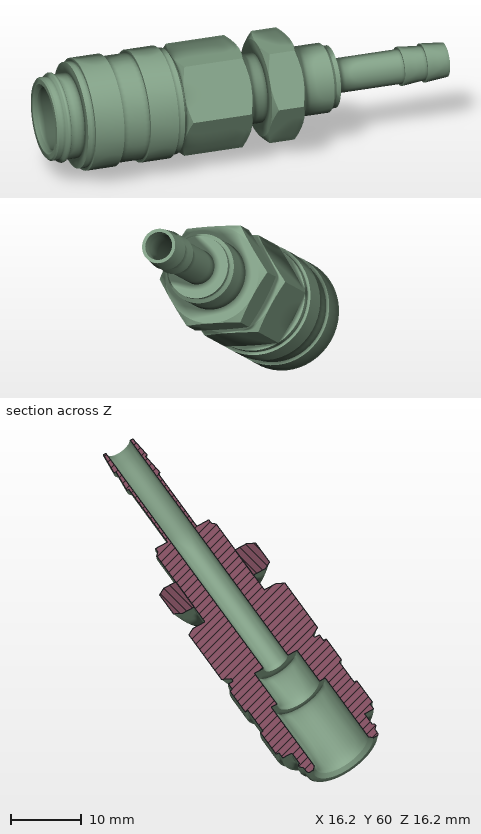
import cadquery as cq
import math


TOTAL_LENGTH = 60.0
LIP_EDGE_Y = 0.25
BEAD_START_Y = 1.1
BEAD_EDGE_Y = 1.45
BEAD_CREST_Y = 1.7
BEAD_END_Y = 2.05
SLEEVE_START_Y = 4.0
FRONT_BAND_START_Y = 5.05
FRONT_BAND_END_Y = 9.3
REAR_BAND_START_Y = 13.25
REAR_BAND_END_Y = 17.45
SLEEVE_END_Y = 18.55
HEX_START_Y = 19.0
HEX_END_Y = 29.0
NUT_START_Y = 31.8
NUT_END_Y = 36.8
SHANK_CHAMFER_Y = 41.8
COLLAR_START_Y = 42.3
COLLAR_END_Y = 42.95
BARB_LENGTH = 3.4
BARB_COUNT = 2

LIP_RADIUS = 11.5 / 2
NOSE_FRONT_RADIUS = 12.0 / 2
NOSE_RADIUS = 12.25 / 2
BEAD_RADIUS = 12.95 / 2
BEAD_EDGE_RADIUS = 12.7 / 2
SLEEVE_RADIUS = 15.3 / 2
BAND_RADIUS = 16.2 / 2
NECK_RADIUS = 13.7 / 2
SHANK_RADIUS = 10.0 / 2
COLLAR_RADIUS = 9.0 / 2
TAIL_RADIUS = 5.0 / 2
BARB_RADIUS = 5.65 / 2

HEX_SIDES = 6
HEX_ACROSS_FLATS = 14.0
HEX_CHAMFER_ANGLE = 30.0
hex_flat_radius = HEX_ACROSS_FLATS / 2
hex_corner_radius = hex_flat_radius / math.cos(math.pi / HEX_SIDES)
hex_chamfer_length = (hex_corner_radius - hex_flat_radius) * math.tan(math.radians(HEX_CHAMFER_ANGLE))

MOUTH_RADIUS = 10.1 / 2
SOCKET_RADIUS = 9.0 / 2
MOUTH_CHAMFER_DEPTH = 0.55
SOCKET_DEPTH = 12.0
SEAT_RADIUS = 7.1 / 2
SEAT_DEPTH = 18.0
BORE_RADIUS = 4.0 / 2


def revolve_about_y(profile):
    """Revolve a closed XY profile a full turn about the Y axis."""
    return profile.close().revolve(360, (0, 0, 0), (0, 1, 0))


def cylinder(radius, start_y, end_y):
    return cq.Workplane("XZ", origin=(0, start_y, 0)).circle(radius).extrude(start_y - end_y)


def chamfered_hexagon(start_y, end_y):
    """Hexagonal prism with flats facing +Z and -Z and conically chamfered corners."""
    prism = (
        cq.Workplane("XZ", origin=(0, start_y, 0))
        .polygon(HEX_SIDES, 2 * hex_corner_radius)
        .extrude(start_y - end_y)
    )
    envelope = revolve_about_y(
        cq.Workplane("XY")
        .moveTo(0, start_y)
        .lineTo(hex_flat_radius, start_y)
        .lineTo(hex_corner_radius, start_y + hex_chamfer_length)
        .lineTo(hex_corner_radius, end_y - hex_chamfer_length)
        .lineTo(hex_flat_radius, end_y)
        .lineTo(0, end_y)
    )
    return prism.intersect(envelope)


def nose():
    """Socket nose with a chamfered lip and a bead around it."""
    return revolve_about_y(
        cq.Workplane("XY")
        .lineTo(LIP_RADIUS, 0)
        .lineTo(NOSE_FRONT_RADIUS, LIP_EDGE_Y)
        .lineTo(NOSE_FRONT_RADIUS, BEAD_START_Y)
        .lineTo(BEAD_EDGE_RADIUS, BEAD_EDGE_Y)
        .threePointArc((BEAD_RADIUS, BEAD_CREST_Y), (NOSE_RADIUS, BEAD_END_Y))
        .lineTo(NOSE_RADIUS, SLEEVE_START_Y)
        .lineTo(0, SLEEVE_START_Y)
    )


def sleeve():
    """Release sleeve with two raised bands."""
    return revolve_about_y(
        cq.Workplane("XY")
        .moveTo(0, SLEEVE_START_Y)
        .lineTo(SLEEVE_RADIUS, SLEEVE_START_Y)
        .lineTo(SLEEVE_RADIUS, FRONT_BAND_START_Y)
        .lineTo(BAND_RADIUS, FRONT_BAND_START_Y)
        .lineTo(BAND_RADIUS, FRONT_BAND_END_Y)
        .lineTo(SLEEVE_RADIUS, FRONT_BAND_END_Y)
        .lineTo(SLEEVE_RADIUS, REAR_BAND_START_Y)
        .lineTo(BAND_RADIUS, REAR_BAND_START_Y)
        .lineTo(BAND_RADIUS, REAR_BAND_END_Y)
        .lineTo(SLEEVE_RADIUS, REAR_BAND_END_Y)
        .lineTo(SLEEVE_RADIUS, SLEEVE_END_Y)
        .lineTo(0, SLEEVE_END_Y)
    )


def shank():
    """Round shank that carries the nut, ending in a cone and a small collar."""
    return revolve_about_y(
        cq.Workplane("XY")
        .moveTo(0, HEX_END_Y)
        .lineTo(SHANK_RADIUS, HEX_END_Y)
        .lineTo(SHANK_RADIUS, SHANK_CHAMFER_Y)
        .lineTo(COLLAR_RADIUS, COLLAR_START_Y)
        .lineTo(COLLAR_RADIUS, COLLAR_END_Y)
        .lineTo(0, COLLAR_END_Y)
    )


def hose_tail():
    """Hose spigot with barbs that narrow toward the free end."""
    barbs_start_y = TOTAL_LENGTH - BARB_COUNT * BARB_LENGTH
    profile = (
        cq.Workplane("XY")
        .moveTo(0, COLLAR_END_Y)
        .lineTo(TAIL_RADIUS, COLLAR_END_Y)
        .lineTo(TAIL_RADIUS, barbs_start_y)
    )
    for index in range(BARB_COUNT):
        barb_y = barbs_start_y + index * BARB_LENGTH
        profile = profile.lineTo(BARB_RADIUS, barb_y).lineTo(TAIL_RADIUS, barb_y + BARB_LENGTH)
    return revolve_about_y(profile.lineTo(0, TOTAL_LENGTH))


def stepped_bore():
    """Flow passage: chamfered mouth, socket, seat and through bore."""
    return revolve_about_y(
        cq.Workplane("XY")
        .lineTo(MOUTH_RADIUS, 0)
        .lineTo(SOCKET_RADIUS, MOUTH_CHAMFER_DEPTH)
        .lineTo(SOCKET_RADIUS, SOCKET_DEPTH)
        .lineTo(SEAT_RADIUS, SOCKET_DEPTH)
        .lineTo(SEAT_RADIUS, SEAT_DEPTH)
        .lineTo(BORE_RADIUS, SEAT_DEPTH)
        .lineTo(BORE_RADIUS, TOTAL_LENGTH)
        .lineTo(0, TOTAL_LENGTH)
    )


def make_coupling_body():
    body = nose().union(sleeve())
    body = body.union(cylinder(NECK_RADIUS, SLEEVE_END_Y, HEX_START_Y))
    body = body.union(chamfered_hexagon(HEX_START_Y, HEX_END_Y))
    body = body.union(shank()).union(hose_tail())
    return body.cut(stepped_bore())


def make_lock_nut():
    return chamfered_hexagon(NUT_START_Y, NUT_END_Y).cut(cylinder(SHANK_RADIUS, NUT_START_Y, NUT_END_Y))


coupling_body = make_coupling_body()
lock_nut = make_lock_nut()

result = cq.Compound.makeCompound([coupling_body.val(), lock_nut.val()])